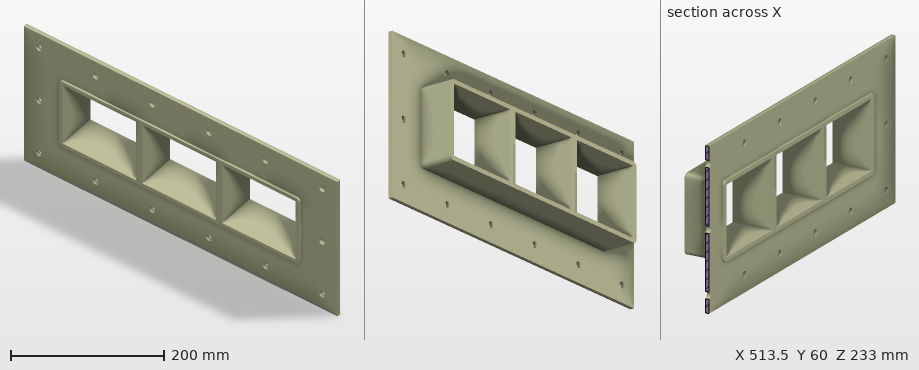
import cadquery as cq

plate_length = 513.5
plate_height = 233.0
plate_thickness = 6.0

frame_length = 394.0
frame_height = 113.5
frame_depth = 60.0
frame_corner_radius = 6.0
front_lip = 3.0

wall_thickness = 6.0
window_count = 3
window_length = 120.0
window_height = frame_height - 2 * wall_thickness
inner_length = frame_length - 2 * wall_thickness
window_pitch = (inner_length - window_length) / (window_count - 1)

hole_diameter = 10.0
hole_columns = 6
hole_rows = 3
hole_span_x = 463.5
hole_span_z = 183.0
hole_pitch_x = hole_span_x / (hole_columns - 1)
hole_pitch_z = hole_span_z / (hole_rows - 1)


def block(length, height, front_y, depth):
    """Box centred on X and Z that runs from front_y toward +Y."""
    return cq.Workplane("XY").box(length, depth, height).translate((0, front_y + depth / 2, 0))


def bolt_hole_centres():
    """Hole centres on the border of the hole grid, as (x, z)."""
    centres = []
    for column in range(hole_columns):
        for row in range(hole_rows):
            if column in (0, hole_columns - 1) or row in (0, hole_rows - 1):
                x = column * hole_pitch_x - hole_span_x / 2
                z = row * hole_pitch_z - hole_span_z / 2
                centres.append((x, z))
    return centres


plate = block(plate_length, plate_height, 0, plate_thickness)
bolt_holes = (
    cq.Workplane("XZ")
    .pushPoints(bolt_hole_centres())
    .circle(hole_diameter / 2)
    .extrude(-plate_thickness)
)
frame = block(frame_length, frame_height, -front_lip, frame_depth)
frame = frame.edges("|Y").fillet(frame_corner_radius)

result = plate.cut(bolt_holes).union(frame)

for index in range(window_count):
    window_x = (index - (window_count - 1) / 2) * window_pitch
    window = block(window_length, window_height, -front_lip, frame_depth)
    result = result.cut(window.translate((window_x, 0, 0)))